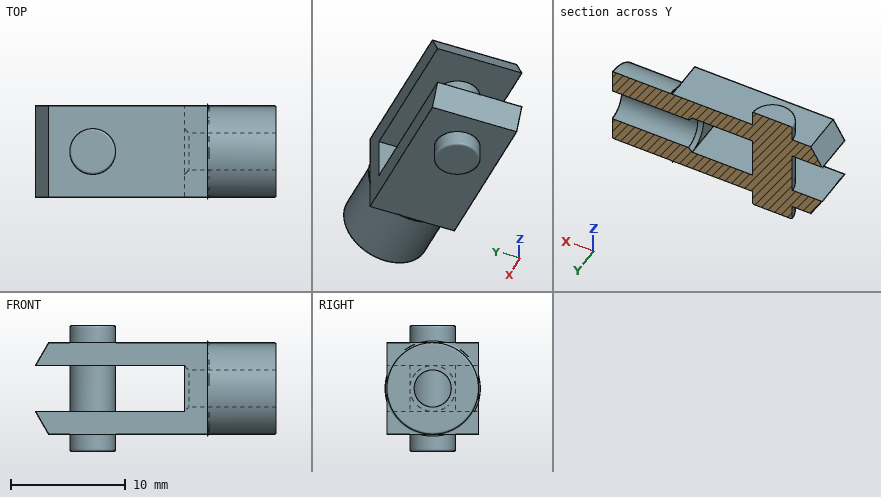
import cadquery as cq
import math


fork_width = 8.0
slot_height = 4.0
tip_to_pin = 5.0
slot_depth = 13.0
fork_length = 15.0
tip_bevel_angle = 30.0
tip_x = -tip_to_pin
slot_end_x = tip_x + slot_depth
fork_end_x = tip_x + fork_length

shank_diameter = 8.0
shank_length = 6.0
shank_fillet = 0.16
shank_radius = shank_diameter / 2
shank_end_x = fork_end_x + shank_length

bore_diameter = 3.24
bore_mouth_diameter = 4.0
bore_chamfer = (bore_mouth_diameter - bore_diameter) / 2

pin_diameter = 4.0
pin_length = 11.0
pin_edge_fillet = 0.2


def make_fork():
    """Square bar with a slot; each prong tip is bevelled back from its inner edge."""
    half_width = fork_width / 2
    half_slot = slot_height / 2
    bevel_length = (half_width - half_slot) * math.tan(math.radians(tip_bevel_angle))
    bevel_x = tip_x + bevel_length
    outline = [
        (bevel_x, half_width),
        (fork_end_x, half_width),
        (fork_end_x, -half_width),
        (bevel_x, -half_width),
        (tip_x, -half_slot),
        (slot_end_x, -half_slot),
        (slot_end_x, half_slot),
        (tip_x, half_slot),
    ]
    return cq.Workplane("XZ").polyline(outline).close().extrude(half_width, both=True)


def revolve_about_x(half_profile):
    """Full turn of a closed half profile about the X axis."""
    return half_profile.revolve(360, (0, 0, 0), (1, 0, 0))


def make_shank():
    """Round shank with a concave root fillet flaring at the fork and a rounded end edge."""
    profile = (
        cq.Workplane("XY")
        .moveTo(fork_end_x, 0)
        .lineTo(fork_end_x, shank_radius + shank_fillet)
        .radiusArc((fork_end_x + shank_fillet, shank_radius), -shank_fillet)
        .lineTo(shank_end_x, shank_radius)
        .lineTo(shank_end_x, 0)
        .close()
    )
    return revolve_about_x(profile).faces(">X").edges().fillet(shank_fillet)


def make_bore():
    """Axial bore from the slot floor through the shank, countersunk at the slot."""
    bore_radius = bore_diameter / 2
    outline = [
        (slot_end_x, 0),
        (slot_end_x, bore_mouth_diameter / 2),
        (slot_end_x + bore_chamfer, bore_radius),
        (shank_end_x, bore_radius),
        (shank_end_x, 0),
    ]
    return revolve_about_x(cq.Workplane("XY").polyline(outline).close())


def make_pin():
    """Cross pin through both prongs, standing out equally on each side."""
    pin = cq.Workplane("XY", origin=(0, 0, -pin_length / 2)).circle(pin_diameter / 2).extrude(pin_length)
    return pin.faces("<Z or >Z").edges().fillet(pin_edge_fillet)


result = make_fork().union(make_shank()).cut(make_bore()).union(make_pin())